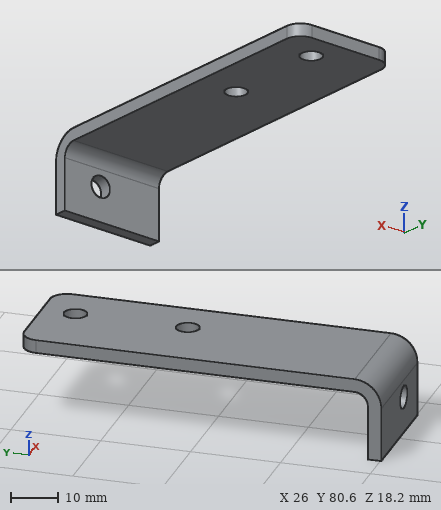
import cadquery as cq

width = 26.0
length = 80.6
height = 18.2
thickness = 3.0

inner_bend_radius = 3.0
outer_bend_radius = inner_bend_radius + thickness

corner_radius = 3.8

hole_diameter = 5.1
hole_x = 16.1
end_hole_inset = 7.6
plate_hole_spacing = 25.0
flange_hole_drop = 10.0


def bent_strip():
    """L-shaped strip: flange face at Y = 0, top of the plate at Z = height."""
    outer_block = (
        cq.Workplane("XY")
        .box(width, length, height, centered=False)
        .edges("|X and <Y and >Z")
        .fillet(outer_bend_radius)
    )
    inner_space = (
        cq.Workplane("XY")
        .box(width, length - thickness, height - thickness, centered=False)
        .edges("|X and <Y and >Z")
        .fillet(inner_bend_radius)
        .translate((0, thickness, 0))
    )
    strip = outer_block.cut(inner_space)
    return strip.edges("|Z and >Y").fillet(corner_radius)


def plate_holes():
    end_hole_y = length - end_hole_inset
    hole_centers = [(hole_x, end_hole_y), (hole_x, end_hole_y - plate_hole_spacing)]
    return (
        cq.Workplane("XY", origin=(0, 0, height - thickness))
        .pushPoints(hole_centers)
        .circle(hole_diameter / 2)
        .extrude(thickness)
    )


def flange_hole():
    return (
        cq.Workplane("XZ")
        .center(hole_x, height - flange_hole_drop)
        .circle(hole_diameter / 2)
        .extrude(-thickness)
    )


result = bent_strip().cut(plate_holes()).cut(flange_hole())